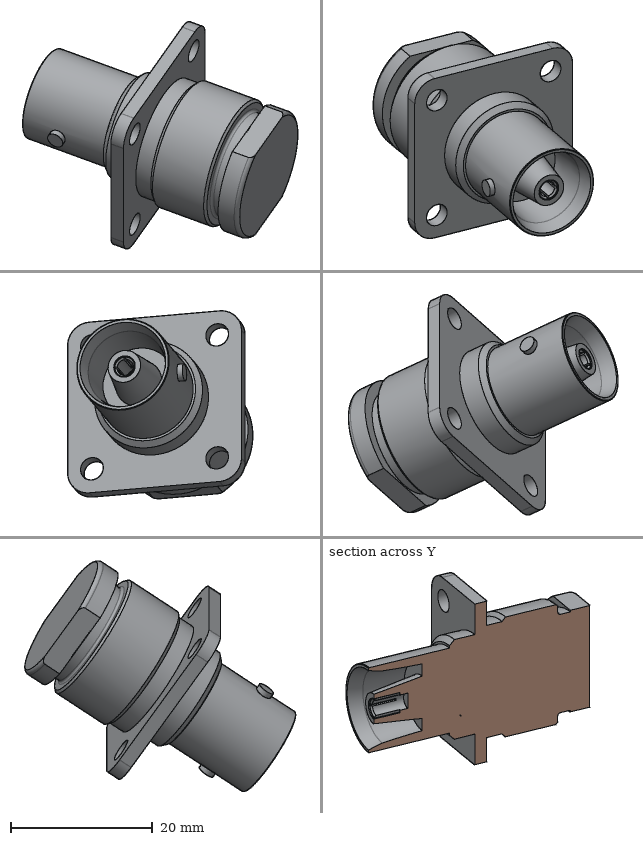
import cadquery as cq


TOTAL_LENGTH = 35.58
BARREL_END = 13.0
FLANGE_START = 17.05
FLANGE_THICKNESS = 2.0
BODY_START = 21.45
BODY_END = 30.45
NUT_LENGTH = 3.2
FLANGE_END = FLANGE_START + FLANGE_THICKNESS
NUT_START = TOTAL_LENGTH - NUT_LENGTH

BARREL_RADIUS = 6.75
FRONT_COLLAR_RADIUS = 7.9
REAR_COLLAR_RADIUS = 8.9
BODY_RADIUS = 9.5
NECK_RADIUS = 7.8
NUT_RADIUS = 9.5

BARREL_CHAMFER = 0.1
COLLAR_CHAMFER = 0.8
BODY_FRONT_CHAMFER = 0.55
BODY_REAR_CHAMFER = 0.35
NECK_FILLET = 0.4
NUT_ROUNDING_LENGTH = 0.65
NUT_ROUNDING_DROP = 0.45

FLANGE_SIDE = 25.4
FLANGE_CORNER_RADIUS = 3.2
MOUNTING_PITCH = 18.3
MOUNTING_HOLE_DIAMETER = 3.3

NUT_ACROSS_FLATS = 16.1

PIN_X = 5.6
PIN_DIAMETER = 2.4
PIN_SPAN = 15.0

SOCKET_MOUTH_RADIUS = 6.25
SOCKET_LEAD_RADIUS = 5.66
SOCKET_LEAD_DEPTH = 2.2
SOCKET_FLOOR_RADIUS = 5.23
SOCKET_DEPTH = 8.6

INSULATOR_TIP_X = 0.85
INSULATOR_TIP_RADIUS = 2.37
INSULATOR_BASE_RADIUS = 3.38

CONTACT_RADIUS = 1.55
CONTACT_RECESS = 0.2
CONTACT_LEAD_RADIUS = 1.45
CONTACT_BORE_RADIUS = 1.17
CONTACT_LEAD_DEPTH = 0.25
CONTACT_BORE_DEPTH = 5.0
CONTACT_SLOT_WIDTH = 0.3
CONTACT_SLOT_LENGTH = 4.0


def revolve_about_x(profile):
    """Revolve a closed (x, radius) profile drawn in the XY plane about the X axis."""
    return profile.close().revolve(360, (0, 0, 0), (1, 0, 0))


def cone_along_x(start_x, start_radius, end_x, end_radius):
    """Make a solid cone or cylinder on the X axis."""
    profile = (
        cq.Workplane("XY")
        .moveTo(start_x, 0)
        .lineTo(start_x, start_radius)
        .lineTo(end_x, end_radius)
        .lineTo(end_x, 0)
    )
    return revolve_about_x(profile)


def make_shell():
    """Barrel, collars, body and neck as one turned solid."""
    profile = (
        cq.Workplane("XY")
        .lineTo(0, BARREL_RADIUS - BARREL_CHAMFER)
        .lineTo(BARREL_CHAMFER, BARREL_RADIUS)
        .lineTo(BARREL_END, BARREL_RADIUS)
        .lineTo(BARREL_END, FRONT_COLLAR_RADIUS - COLLAR_CHAMFER)
        .lineTo(BARREL_END + COLLAR_CHAMFER, FRONT_COLLAR_RADIUS)
        .lineTo(FLANGE_END, FRONT_COLLAR_RADIUS)
        .lineTo(FLANGE_END, REAR_COLLAR_RADIUS)
        .lineTo(BODY_START, REAR_COLLAR_RADIUS)
        .lineTo(BODY_START + BODY_FRONT_CHAMFER, BODY_RADIUS)
        .lineTo(BODY_END - BODY_REAR_CHAMFER, BODY_RADIUS)
        .lineTo(BODY_END, BODY_RADIUS - BODY_REAR_CHAMFER)
        .lineTo(BODY_END, NECK_RADIUS + NECK_FILLET)
        .tangentArcPoint((BODY_END + NECK_FILLET, NECK_RADIUS), relative=False)
        .lineTo(NUT_START, NECK_RADIUS)
        .lineTo(NUT_START, 0)
    )
    return revolve_about_x(profile)


def make_flange():
    """Square mounting flange with rounded corners and four holes."""
    return (
        cq.Workplane("YZ", origin=(FLANGE_START, 0, 0))
        .rect(FLANGE_SIDE, FLANGE_SIDE)
        .extrude(FLANGE_THICKNESS)
        .edges("|X")
        .fillet(FLANGE_CORNER_RADIUS)
        .faces("<X")
        .workplane()
        .rect(MOUNTING_PITCH, MOUNTING_PITCH, forConstruction=True)
        .vertices()
        .hole(MOUNTING_HOLE_DIAMETER)
    )


def make_nut():
    """Round rear nut with a rounded end and two flats facing +Z and -Z."""
    profile = (
        cq.Workplane("XY")
        .moveTo(NUT_START, 0)
        .lineTo(NUT_START, NUT_RADIUS)
        .lineTo(TOTAL_LENGTH - NUT_ROUNDING_LENGTH, NUT_RADIUS)
        .tangentArcPoint((TOTAL_LENGTH, NUT_RADIUS - NUT_ROUNDING_DROP), relative=False)
        .lineTo(TOTAL_LENGTH, 0)
    )
    blank = revolve_about_x(profile)
    flats = (
        cq.Workplane("YZ", origin=(NUT_START, 0, 0))
        .rect(2 * NUT_RADIUS, NUT_ACROSS_FLATS)
        .extrude(NUT_LENGTH)
    )
    return blank.intersect(flats)


def make_pins():
    """One rod across the barrel whose two ends form the bayonet pins."""
    return (
        cq.Workplane("XZ", origin=(PIN_X, 0, 0))
        .circle(PIN_DIAMETER / 2)
        .extrude(PIN_SPAN / 2, both=True)
    )


def make_socket():
    """Cavity at the open end of the barrel."""
    lead_in = cone_along_x(0, SOCKET_MOUTH_RADIUS, SOCKET_LEAD_DEPTH, SOCKET_LEAD_RADIUS)
    well = cone_along_x(SOCKET_LEAD_DEPTH, SOCKET_LEAD_RADIUS, SOCKET_DEPTH, SOCKET_FLOOR_RADIUS)
    return lead_in.union(well)


def make_insulator():
    """Tapered insulator with the recessed, countersunk contact bore and its four slots."""
    contact_tip_x = INSULATOR_TIP_X + CONTACT_RECESS
    bore_start_x = contact_tip_x + CONTACT_LEAD_DEPTH
    bore_end_x = bore_start_x + CONTACT_BORE_DEPTH
    taper = cone_along_x(INSULATOR_TIP_X, INSULATOR_TIP_RADIUS, SOCKET_DEPTH, INSULATOR_BASE_RADIUS)
    recess = cone_along_x(INSULATOR_TIP_X, CONTACT_RADIUS, contact_tip_x, CONTACT_RADIUS)
    lead_in = cone_along_x(contact_tip_x, CONTACT_LEAD_RADIUS, bore_start_x, CONTACT_BORE_RADIUS)
    bore = cone_along_x(bore_start_x, CONTACT_BORE_RADIUS, bore_end_x, CONTACT_BORE_RADIUS)
    body = taper.cut(recess).cut(lead_in).cut(bore)
    slot_sections = [
        (2 * CONTACT_RADIUS, CONTACT_SLOT_WIDTH),
        (CONTACT_SLOT_WIDTH, 2 * CONTACT_RADIUS),
    ]
    for width, height in slot_sections:
        slot = (
            cq.Workplane("YZ", origin=(contact_tip_x, 0, 0))
            .rect(width, height)
            .extrude(CONTACT_SLOT_LENGTH)
        )
        body = body.cut(slot)
    return body


outside = make_shell().union(make_flange()).union(make_nut()).union(make_pins())
result = outside.cut(make_socket()).union(make_insulator())